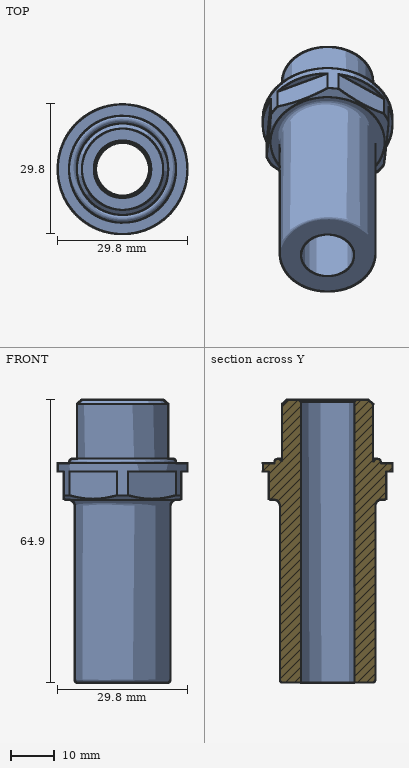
import cadquery as cq

total_height = 64.9

tube_diameter = 22.0
tube_end_fillet = 0.8

flange_diameter = 29.8
flange_top = 50.35
flange_thickness = 1.95
flange_bottom = flange_top - flange_thickness
hex_across_flats = 27.0
hex_bottom = 41.9
hex_chamfer_width = 1.8
hex_chamfer_height = 1.05
neck_fillet = 1.35

spigot_diameter = 20.95
spigot_chamfer_width = 1.2
spigot_chamfer_height = 1.05

ring_outer_diameter = 24.5
ring_tube_radius = (ring_outer_diameter - spigot_diameter) / 4
ring_center_radius = ring_outer_diameter / 2 - ring_tube_radius
ring_lift = 0.1

bore_diameter = 12.15
bore_chamfer = 0.5


def make_turned_body():
    """Revolve the outer profile, with radius along X and height along Z."""
    tube_radius = tube_diameter / 2
    flange_radius = flange_diameter / 2
    spigot_radius = spigot_diameter / 2
    neck_start = (tube_radius, hex_bottom - neck_fillet)
    neck_end = (tube_radius + neck_fillet, hex_bottom)
    arc_reach = neck_fillet * (1 - 0.5**0.5)
    neck_middle = (tube_radius + arc_reach, hex_bottom - arc_reach)
    profile = (
        cq.Workplane("XZ")
        .lineTo(tube_radius, 0)
        .lineTo(*neck_start)
        .threePointArc(neck_middle, neck_end)
        .lineTo(flange_radius - hex_chamfer_width, hex_bottom)
        .lineTo(flange_radius, hex_bottom + hex_chamfer_height)
        .lineTo(flange_radius, flange_top)
        .lineTo(spigot_radius, flange_top)
        .lineTo(spigot_radius, total_height - spigot_chamfer_height)
        .lineTo(spigot_radius - spigot_chamfer_width, total_height)
        .lineTo(0, total_height)
        .close()
    )
    body = profile.revolve(360, (0, 0), (0, 1))
    return body.faces("<Z").edges().fillet(tube_end_fillet)


def cut_wrench_flats(body):
    """Cut six flats below the flange, one pair facing along X."""
    flat_height = flange_bottom - hex_bottom
    for index in range(6):
        cutter = (
            cq.Workplane("XY")
            .box(flange_diameter, flange_diameter, flat_height, centered=(False, True, False))
            .translate((hex_across_flats / 2, 0, hex_bottom))
            .rotate((0, 0, 0), (0, 0, 1), index * 60)
        )
        body = body.cut(cutter)
    return body


def make_sealing_ring():
    """Round ring centered just above the top face of the flange."""
    return (
        cq.Workplane("XZ")
        .center(ring_center_radius, flange_top + ring_lift)
        .circle(ring_tube_radius)
        .revolve(360, (-ring_center_radius, 0), (-ring_center_radius, 1))
    )


def cut_bore(body):
    """Cut the through bore and chamfer its upper rim."""
    bore_radius = bore_diameter / 2
    bore = cq.Workplane("XY").circle(bore_radius).extrude(total_height)
    rim = (
        cq.Workplane("XY")
        .workplane(offset=total_height)
        .circle(bore_radius + bore_chamfer)
        .extrude(-bore_chamfer, taper=45)
    )
    return body.cut(bore).cut(rim)


flanged_body = cut_wrench_flats(make_turned_body())
result = cut_bore(flanged_body.union(make_sealing_ring()))